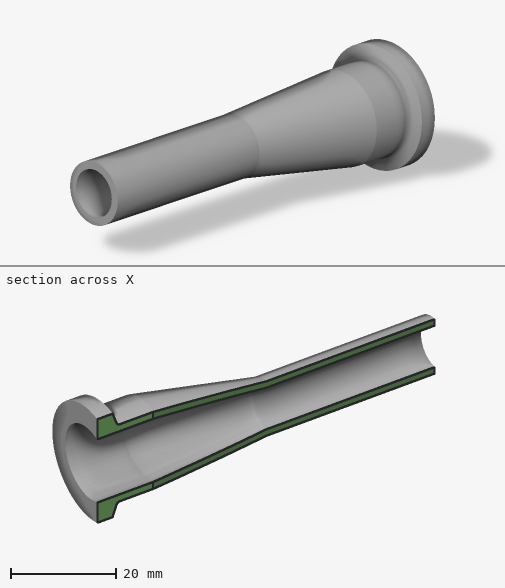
import cadquery as cq
import math

total_length = 76.2
ferrule_length = total_length / 6
cone_length = total_length / 3

flange_radius = 24.9 / 2
rim_thickness = 3.5
clamp_angle = math.radians(20)
neck_fillet = 0.7

neck_radius = 19.05 / 2
tube_radius = 12.7 / 2
wall = 1.6

tube_offset = tube_radius - neck_radius
cone_end = ferrule_length + cone_length


def section(radius, x_center, depth):
    """Circle in the XZ plane, at the given distance behind the clamp face."""
    return cq.Workplane("XZ", origin=(x_center, -depth, 0)).circle(radius)


def make_ferrule():
    """Flange with a tapered clamp shoulder, filleted into a bored neck."""
    bore_radius = neck_radius - wall
    shoulder_depth = rim_thickness + (flange_radius - neck_radius) * math.tan(clamp_angle)
    profile = [
        (bore_radius, 0),
        (flange_radius, 0),
        (flange_radius, -rim_thickness),
        (neck_radius, -shoulder_depth),
        (neck_radius, -ferrule_length),
        (bore_radius, -ferrule_length),
    ]
    turned = cq.Workplane("XY").polyline(profile).close().revolve(360, (0, 0, 0), (0, 1, 0))
    root_point = (0, -shoulder_depth, 0)
    root_edge = cq.selectors.NearestToPointSelector(root_point)
    return turned.edges(root_edge).fillet(neck_fillet)


def reducer_form(large_radius, small_radius):
    """Eccentric cone followed by a straight cylinder, as one solid."""
    large_end = section(large_radius, 0, ferrule_length).wires().val()
    small_end = section(small_radius, tube_offset, cone_end).wires().val()
    cone = cq.Workplane(cq.Solid.makeLoft([large_end, small_end], True))
    tube = section(small_radius, tube_offset, cone_end).extrude(total_length - cone_end)
    return cone.union(tube)


def make_reducer():
    """Hollow eccentric reducer with its tube end."""
    outside = reducer_form(neck_radius, tube_radius)
    inside = reducer_form(neck_radius - wall, tube_radius - wall)
    return outside.cut(inside)


ferrule = make_ferrule()
reducer = make_reducer()

result = cq.Compound.makeCompound([ferrule.val(), *reducer.solids().vals()])